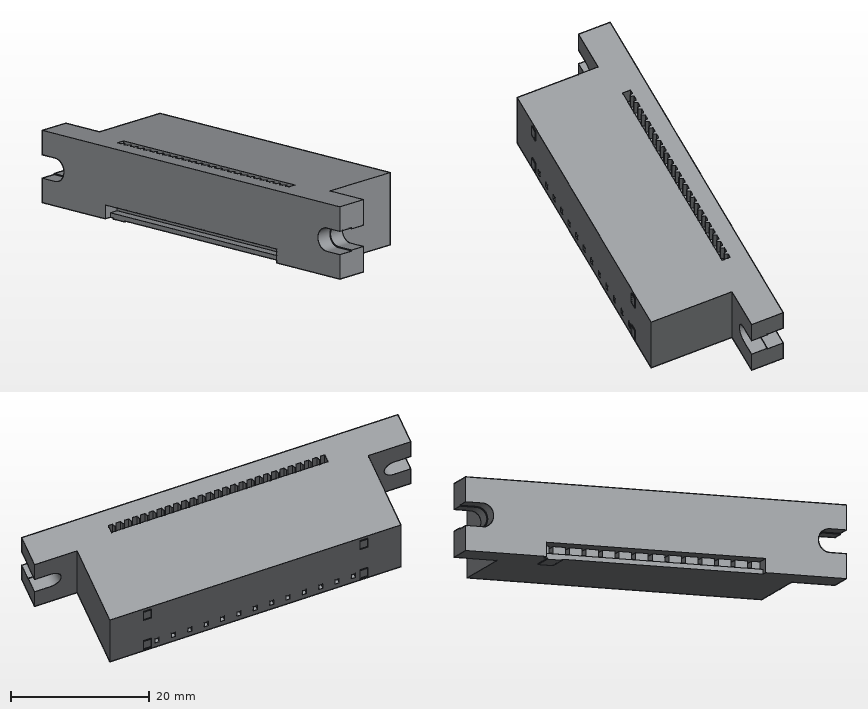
import cadquery as cq


overall_length = 58.42
overall_depth = 18.16
overall_height = 11.05

rear_pad_height = 0.15
marker_height = 0.15
body_length = 45.2
body_depth = overall_depth - rear_pad_height
body_height = overall_height - marker_height
flange_depth = 5.08

notch_centre_inset = 2.54
notch_front_width = 3.5
notch_rear_width = 3.2
notch_step_depth = flange_depth / 2

contact_pitch = 1.27
tooth_count = 26
window_count = 13
window_pitch = 2 * contact_pitch
contact_row_length = 33.6

slot_front = 2.64
slot_width = 1.27
slot_depth = 2.54
tooth_base_width = 0.6
tooth_tip_width = 0.19
tooth_reach = 0.5

recess_height = 2.1
sill_height = 0.7
sill_setback = 1.08
recess_depth = 2.54
window_width = 0.62
window_sill = 1.1

rear_pad_length = 1.2
rear_pad_width = 2.1
rear_pad_spacing_x = 33.6
rear_pad_edge_gap = 0.6

marker_length = 2.3
marker_left = -16.3
marker_front = sill_setback
marker_rear = flange_depth


def block(x_min, x_max, y_min, y_max, z_min, z_max):
    """Axis-aligned box given by its limits."""
    return cq.Workplane("XY").box(
        x_max - x_min, y_max - y_min, z_max - z_min, centered=False
    ).translate((x_min, y_min, z_min))


def centred_block(x_centre, length, y_min, y_max, z_min, z_max):
    """Box placed symmetrically about x_centre."""
    half = length / 2
    return block(x_centre - half, x_centre + half, y_min, y_max, z_min, z_max)


def row_positions(count, pitch):
    """X positions of an evenly spaced row centred on the part."""
    return [(i - (count - 1) / 2) * pitch for i in range(count)]


def make_housing():
    flange = centred_block(0, overall_length, 0, flange_depth, 0, body_height)
    body = centred_block(0, body_length, 0, body_depth, 0, body_height)
    return body.union(flange)


def notch_cutter(side, width, y_min, y_max):
    """Round-bottomed notch entering from the end on the given side (-1 or 1)."""
    end_x = side * overall_length / 2
    centre_x = end_x - side * notch_centre_inset
    middle = body_height / 2
    round_end = (
        cq.Workplane("XZ", origin=(centre_x, y_max, middle))
        .circle(width / 2)
        .extrude(y_max - y_min)
    )
    mouth_x = (end_x + centre_x) / 2
    bottom = middle - width / 2
    mouth = centred_block(mouth_x, notch_centre_inset, y_min, y_max, bottom, bottom + width)
    return round_end.union(mouth)


def cut_mounting_notches(part):
    for side in (-1, 1):
        part = part.cut(notch_cutter(side, notch_front_width, 0, notch_step_depth))
        part = part.cut(notch_cutter(side, notch_rear_width, notch_step_depth, flange_depth))
    return part


def tapered_tooth(x, floor):
    """Vertical tooth that narrows from the front wall of the slot towards its tip."""
    tip_y = slot_front + tooth_reach
    outline = [
        (x - tooth_base_width / 2, slot_front),
        (x + tooth_base_width / 2, slot_front),
        (x + tooth_tip_width / 2, tip_y),
        (x - tooth_tip_width / 2, tip_y),
    ]
    return cq.Workplane("XY", origin=(0, 0, floor)).polyline(outline).close().extrude(slot_depth)


def cut_toothed_slot(part):
    floor = body_height - slot_depth
    slot = centred_block(
        0, contact_row_length, slot_front, slot_front + slot_width, floor, body_height
    )
    for x in row_positions(tooth_count, contact_pitch):
        slot = slot.cut(tapered_tooth(x, floor))
    return part.cut(slot)


def cut_front_recess(part):
    above_sill = centred_block(0, contact_row_length, 0, recess_depth, sill_height, recess_height)
    before_sill = centred_block(0, contact_row_length, 0, sill_setback, 0, sill_height)
    return part.cut(above_sill).cut(before_sill)


def cut_windows(part):
    """Windows that run from the recess straight through to the rear face."""
    for x in row_positions(window_count, window_pitch):
        part = part.cut(
            centred_block(x, window_width, recess_depth, body_depth, window_sill, recess_height)
        )
    return part


def add_rear_pads(part):
    lower = rear_pad_edge_gap
    upper = body_height - rear_pad_edge_gap - rear_pad_width
    for x in row_positions(2, rear_pad_spacing_x):
        for z in (lower, upper):
            pad = centred_block(x, rear_pad_length, body_depth, overall_depth, z, z + rear_pad_width)
            part = part.union(pad)
    return part


def add_marker(part):
    marker = block(
        marker_left, marker_left + marker_length, marker_front, marker_rear, -marker_height, 0
    )
    return part.union(marker)


housing = make_housing()
housing = cut_mounting_notches(housing)
housing = cut_toothed_slot(housing)
housing = cut_front_recess(housing)
housing = cut_windows(housing)
housing = add_rear_pads(housing)
result = add_marker(housing)